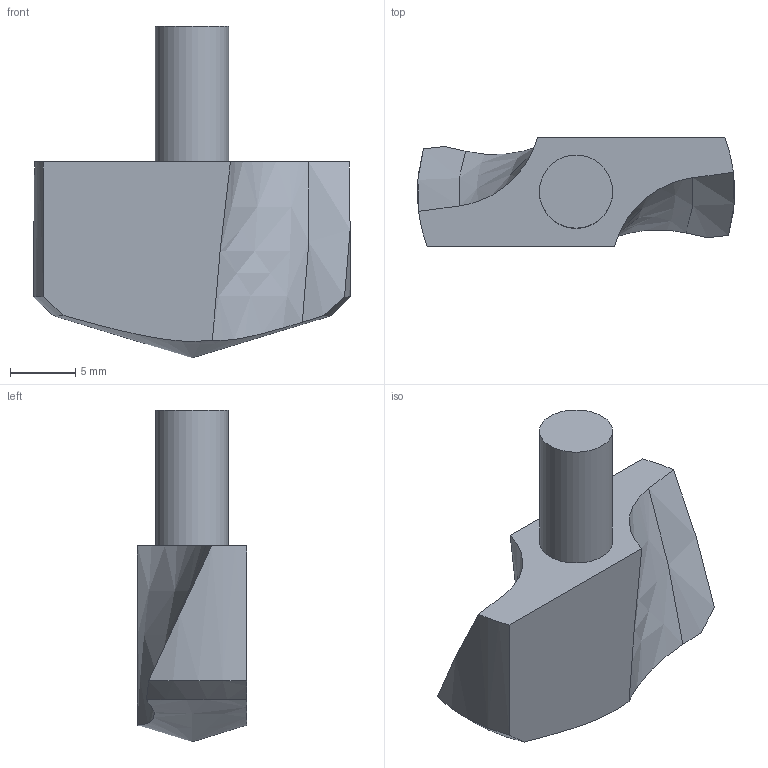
import cadquery as cq
import math

thickness = 8.37
body_radius = 12.14
shank_diameter = 5.6
total_height = 25.4
body_top = 15.0

corner_radius = 10.65
corner_height = 3.23
rim_height = 4.67

land_tilt = math.radians(7.6)
flute_radius = 7.2
land_start = (8.94, 1.08)
twist_rate = 2.22
clearance = 4.0


def make_body():
    """Turned head with its cone point, sliced to a flat blade, plus the shank."""
    head = (
        cq.Workplane("XZ")
        .polyline([
            (0, 0),
            (corner_radius, corner_height),
            (body_radius, rim_height),
            (body_radius, body_top),
            (0, body_top),
        ])
        .close()
        .revolve(360, (0, 0, 0), (0, 1, 0))
    )
    slab = cq.Workplane("XY").box(
        2 * body_radius + clearance, thickness, body_top, centered=(True, True, False)
    )
    shank = (
        cq.Workplane("XY")
        .workplane(offset=body_top)
        .circle(shank_diameter / 2)
        .extrude(total_height - body_top)
    )
    return head.intersect(slab).union(shank)


def make_flute_cutter():
    """Twisted cutter for the flute on the +X, -Y side."""
    land_direction = (math.cos(land_tilt), math.sin(land_tilt))
    center_x = land_start[0] + flute_radius * land_direction[1]
    center_y = land_start[1] - flute_radius * land_direction[0]
    arc_start = (center_x - flute_radius, center_y)
    mid_angle = (math.pi + math.pi / 2 + land_tilt) / 2
    arc_middle = (
        center_x + flute_radius * math.cos(mid_angle),
        center_y + flute_radius * math.sin(mid_angle),
    )
    outer_x = body_radius + clearance
    land_end = (outer_x, land_start[1] + (outer_x - land_start[0]) * math.tan(land_tilt))

    section = (
        cq.Workplane("XY")
        .moveTo(*arc_start)
        .threePointArc(arc_middle, land_start)
        .lineTo(*land_end)
        .lineTo(outer_x, center_y)
        .close()
    )
    twist = twist_rate * body_top
    return section.twistExtrude(body_top, twist).rotate((0, 0, 0), (0, 0, 1), -twist)


flute_cutter = make_flute_cutter()
result = make_body()
for flute_angle in (0, 180):
    result = result.cut(flute_cutter.rotate((0, 0, 0), (0, 0, 1), flute_angle))